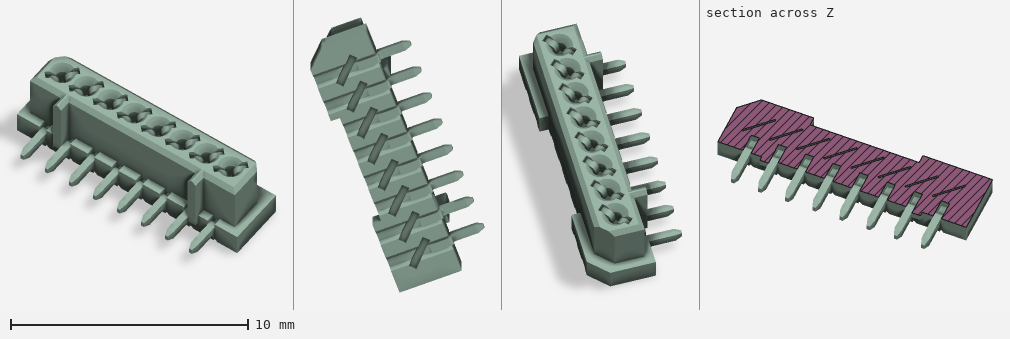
import cadquery as cq
import math

half_chord = math.sin(math.radians(45))

contact_count = 8
contact_pitch = 1.25
contact_y = 1.4
contact_xs = [(i - (contact_count - 1) / 2) * contact_pitch for i in range(contact_count)]

base_length = 11.45
base_depth = 2.8
base_height = 1.07
base_corner_chamfer = 0.8
back_notch_length = 5.0

total_height = 3.4
housing_length = 10.65
housing_front = 0.38
housing_back = 2.4
housing_left_chamfer = 0.7
housing_right_chamfer = 0.4
housing_top_chamfer = 0.2

rib_spacing = 7.0
rib_width = 0.41
rib_front = -0.2
rib_bottom = 0.6
rib_top_chamfer = 0.17

pin_notch_width = 0.36
pin_notch_chamfer = 0.14

pin_width = 0.33
pin_top = 0.87
pin_bottom = 0.44
pin_tip_y = -1.5
pin_taper_length = 0.3
pin_tip_width = 0.15
pin_tip_height = 0.25
leg_front = -0.1
leg_bottom = 0.07
leg_inner_radius = 0.09
leg_outer_radius = 0.1
pin_back_radius = 0.3
leg_back = 0.88
passage_top = 0.9

funnel_diameter = 1.12
socket_diameter = 0.6
funnel_depth = 0.3
socket_depth = 1.6

slot_angle = 45
slot_length = 1.48
slot_width = 0.35

contact_clearance = 0.05
contact_thickness = slot_width - contact_clearance
contact_bottom = 0.3
near_crest_offset = 0.46
near_crest_drop = 0.25
near_shoulder_drop = 0.35
far_land_start = 0.4
far_land_end = 0.59
far_land_drop = 0.17
jaw_gap = 0.24
throat_width = 0.16
throat_depth = 0.75
near_jaw_round = near_crest_offset - jaw_gap / 2
far_end_round = slot_length / 2 - far_land_end
far_jaw_round = far_land_start - jaw_gap / 2


def box(x_min, x_max, y_min, y_max, z_min, z_max):
    size = (x_max - x_min, y_max - y_min, z_max - z_min)
    return cq.Workplane("XY").box(*size, centered=False).translate((x_min, y_min, z_min))


def make_base():
    half = base_length / 2
    base = box(-half, half, 0, base_depth, 0, base_height)
    base = base.edges("|Z and <X and >Y").chamfer(base_corner_chamfer)
    half_notch = back_notch_length / 2
    return base.cut(box(-half_notch, half_notch, housing_back, base_depth, 0, base_height))


def make_housing():
    half = housing_length / 2
    housing = box(-half, half, housing_front, housing_back, 0, total_height)
    housing = housing.edges("|Z and <X and >Y").chamfer(housing_left_chamfer)
    housing = housing.edges("|Z and >X and >Y").chamfer(housing_right_chamfer)
    length_profile = chamfered_profile("XZ", -half, half)
    depth_profile = chamfered_profile("YZ", housing_front, housing_back)
    return (
        housing
        .intersect(length_profile.extrude(base_length, both=True))
        .intersect(depth_profile.extrude(base_length, both=True))
    )


def chamfered_profile(plane, low, high):
    """Upright rectangle from low to high with both top corners cut off."""
    shoulder = total_height - housing_top_chamfer
    return cq.Workplane(plane).polyline([
        (low, 0),
        (high, 0),
        (high, shoulder),
        (high - housing_top_chamfer, total_height),
        (low + housing_top_chamfer, total_height),
        (low, shoulder),
    ]).close()


def make_rib(x):
    half = rib_width / 2
    rib_back = housing_front + housing_top_chamfer
    rib = box(x - half, x + half, rib_front, rib_back, rib_bottom, total_height)
    return rib.edges("|Y and >Z").chamfer(rib_top_chamfer)


def make_pin_notch(x):
    """Front notch with a passage for the pin leg, over a flared groove along the whole underside."""
    half = pin_notch_width / 2
    groove_half = half + pin_notch_chamfer
    groove = (
        cq.Workplane("XZ", origin=(x, 0, 0))
        .polyline([
            (-groove_half, 0),
            (groove_half, 0),
            (half, pin_notch_chamfer),
            (-half, pin_notch_chamfer),
        ])
        .close()
        .extrude(-base_depth)
    )
    notch = box(x - half, x + half, 0, housing_front, 0, base_height)
    passage = box(x - half, x + half, 0, leg_back, 0, passage_top)
    return notch.union(passage).union(groove)


def make_socket(x):
    """Countersunk round socket with a diagonal slot running right through."""
    funnel = (
        cq.Workplane("XY", origin=(x, contact_y, total_height))
        .circle(funnel_diameter / 2)
        .workplane(offset=-funnel_depth)
        .circle(socket_diameter / 2)
        .loft()
    )
    bore = (
        cq.Workplane("XY", origin=(x, contact_y, total_height))
        .circle(socket_diameter / 2)
        .extrude(-socket_depth)
    )
    slot = (
        cq.Workplane("XY", origin=(x, contact_y, 0))
        .transformed(rotate=(0, 0, slot_angle))
        .rect(slot_length, slot_width)
        .extrude(total_height)
    )
    return funnel.union(bore).union(slot)


def make_contact(x):
    """Fork lying against one wall of its slot: a pointed near jaw and a flat-topped far jaw."""
    half = slot_length / 2
    half_gap = jaw_gap / 2
    half_throat = throat_width / 2
    crest = total_height - near_crest_drop
    land = total_height - far_land_drop
    throat = total_height - throat_depth
    near_reach = near_jaw_round * (1 - half_chord)
    far_reach = far_jaw_round * (1 - half_chord)
    fork = (
        cq.Workplane("XZ")
        .moveTo(-half, contact_bottom)
        .lineTo(half, contact_bottom)
        .lineTo(half, land - far_end_round)
        .radiusArc((far_land_end, land), -far_end_round)
        .lineTo(far_land_start, land)
        .threePointArc((half_gap + far_reach, land - far_reach), (half_gap, land - far_jaw_round))
        .lineTo(half_throat, throat)
        .lineTo(-half_throat, throat)
        .lineTo(-half_gap, crest - near_jaw_round)
        .threePointArc((-half_gap - near_reach, crest - near_reach), (-near_crest_offset, crest))
        .lineTo(-half, total_height - near_shoulder_drop)
        .close()
        .extrude(contact_thickness)
    )
    fork = fork.translate((0, slot_width / 2 - contact_clearance, 0))
    return fork.rotate((0, 0, 0), (0, 0, 1), slot_angle).translate((x, contact_y, 0))


def make_pin(x):
    taper_y = pin_tip_y + pin_taper_length
    bend_start = housing_front - pin_back_radius
    bend_end = pin_top - pin_back_radius
    shank = (
        cq.Workplane("YZ", origin=(x - pin_width / 2, 0, 0))
        .moveTo(taper_y, pin_bottom)
        .lineTo(taper_y, pin_top)
        .lineTo(bend_start, pin_top)
        .threePointArc(
            (bend_start + pin_back_radius * half_chord, bend_end + pin_back_radius * half_chord),
            (housing_front, bend_end),
        )
        .lineTo(leg_back, bend_end)
        .lineTo(leg_back, leg_bottom)
        .lineTo(leg_front + leg_outer_radius, leg_bottom)
        .radiusArc((leg_front, leg_bottom + leg_outer_radius), leg_outer_radius)
        .lineTo(leg_front, pin_bottom - leg_inner_radius)
        .radiusArc((leg_front - leg_inner_radius, pin_bottom), -leg_inner_radius)
        .close()
        .extrude(pin_width)
    )
    tip = (
        cq.Workplane("XZ", origin=(x, taper_y, (pin_top + pin_bottom) / 2))
        .rect(pin_width, pin_top - pin_bottom)
        .workplane(offset=pin_taper_length)
        .rect(pin_tip_width, pin_tip_height)
        .loft()
    )
    return shank.union(tip)


def make_connector():
    body = make_base().union(make_housing())
    for x in contact_xs:
        body = body.cut(make_pin_notch(x)).cut(make_socket(x))
    for side in (-1, 1):
        body = body.union(make_rib(side * rib_spacing / 2))
    for x in contact_xs:
        body = body.union(make_contact(x)).union(make_pin(x))
    return body


result = make_connector()